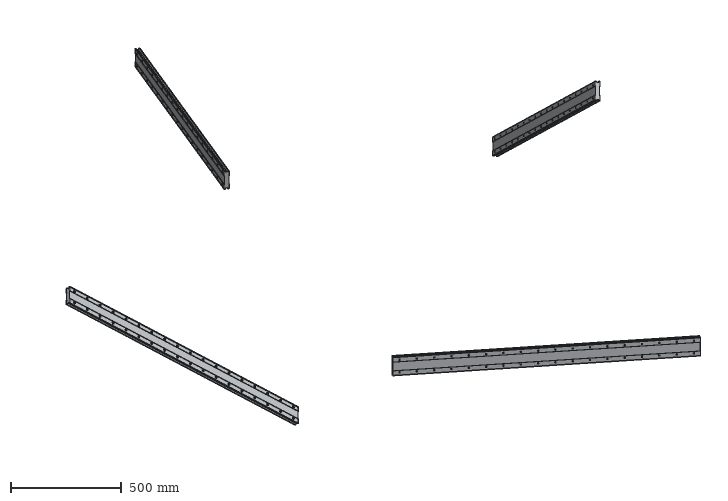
import cadquery as cq

LENGTH = 1420.0
THICKNESS = 24.0
HEIGHT = 90.0

GROOVE_DEPTH = 5.3
GROOVE_FLOOR_WIDTH = 6.4
GROOVE_FRONT_WALL_RUN = 3.0
FRONT_LIP_WIDTH = 4.0

REAR_CHAMFER = 3.1

RECESS_HEIGHT = 41.0
RECESS_DEPTH = 1.0

HOLES_PER_ROW = 18
END_MARGIN = 30.0
ROW_SPACING = 60.0
HOLE_DIAMETER = 5.5
COUNTERBORE_DIAMETER = 9.1
COUNTERBORE_DEPTH = 9.0

FRONT_Y = -THICKNESS / 2
REAR_Y = THICKNESS / 2
HOLE_PITCH = (LENGTH - 2 * END_MARGIN) / (HOLES_PER_ROW - 1)


def make_bar():
    bar = cq.Workplane("XY").box(LENGTH, THICKNESS, HEIGHT)
    return bar.faces(">Y").edges("|X").chamfer(REAR_CHAMFER)


def make_groove(side):
    """Groove along the top edge (side = 1) or the bottom edge (side = -1)."""
    edge_z = side * HEIGHT / 2
    floor_z = edge_z - side * GROOVE_DEPTH
    mouth_front = FRONT_Y + FRONT_LIP_WIDTH
    floor_front = mouth_front + GROOVE_FRONT_WALL_RUN
    floor_rear = floor_front + GROOVE_FLOOR_WIDTH
    mouth_rear = floor_rear + GROOVE_DEPTH
    outline = [
        (mouth_front, edge_z),
        (mouth_rear, edge_z),
        (floor_rear, floor_z),
        (floor_front, floor_z),
    ]
    return cq.Workplane("YZ").polyline(outline).close().extrude(LENGTH / 2, both=True)


def make_recess(face_y):
    block = cq.Workplane("XY").box(LENGTH, 2 * RECESS_DEPTH, RECESS_HEIGHT)
    return block.translate((0, face_y, 0))


def cut_holes(bar):
    return (
        bar.copyWorkplane(cq.Workplane("XZ", origin=(0, FRONT_Y, 0)))
        .rarray(HOLE_PITCH, ROW_SPACING, HOLES_PER_ROW, 2)
        .cboreHole(HOLE_DIAMETER, COUNTERBORE_DIAMETER, COUNTERBORE_DEPTH)
    )


bar = make_bar()
for side in (1, -1):
    bar = bar.cut(make_groove(side))
for face_y in (FRONT_Y, REAR_Y):
    bar = bar.cut(make_recess(face_y))
result = cut_holes(bar)